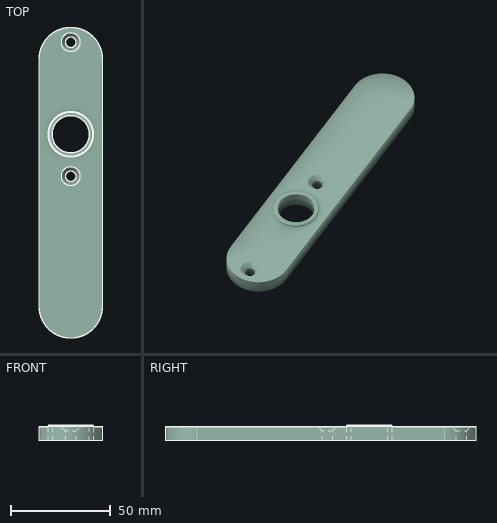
import cadquery as cq

PLATE_LENGTH = 156.0
PLATE_WIDTH = 32.0
PLATE_THICKNESS = 7.0

BUSHING_Y = 24.3
BUSHING_OUTER_DIAMETER = 23.0
BUSHING_BORE_DIAMETER = 18.5
BUSHING_RISE = 1.0
BUSHING_CHAMFER = 0.5
BUSHING_HEIGHT = PLATE_THICKNESS + BUSHING_RISE

SCREW_HOLE_POSITIONS = [(0, 70.5), (0, 3.3)]
SCREW_HOLE_DIAMETER = 5.1
COUNTERSINK_DIAMETER = 9.5
COUNTERSINK_ANGLE = 90.0


def make_plate():
    """Plate with a seat for the bushing and two countersunk screw holes."""
    blank = cq.Workplane("XY").slot2D(PLATE_LENGTH, PLATE_WIDTH, 90).extrude(PLATE_THICKNESS)
    top = blank.faces(">Z").workplane(origin=(0, 0, PLATE_THICKNESS))
    drilled = top.pushPoints(SCREW_HOLE_POSITIONS).cskHole(
        SCREW_HOLE_DIAMETER, COUNTERSINK_DIAMETER, COUNTERSINK_ANGLE
    )
    seat = cq.Workplane("XY").center(0, BUSHING_Y).circle(BUSHING_OUTER_DIAMETER / 2).extrude(PLATE_THICKNESS)
    return drilled.cut(seat)


def make_bushing():
    """Plain sleeve with its outer top edge chamfered."""
    sleeve = cq.Workplane("XY").center(0, BUSHING_Y).circle(BUSHING_OUTER_DIAMETER / 2).extrude(BUSHING_HEIGHT)
    chamfered = sleeve.faces(">Z").edges().chamfer(BUSHING_CHAMFER)
    return chamfered.faces(">Z").workplane().hole(BUSHING_BORE_DIAMETER)


plate = make_plate()
bushing = make_bushing()

result = cq.Compound.makeCompound([plate.val(), bushing.val()])